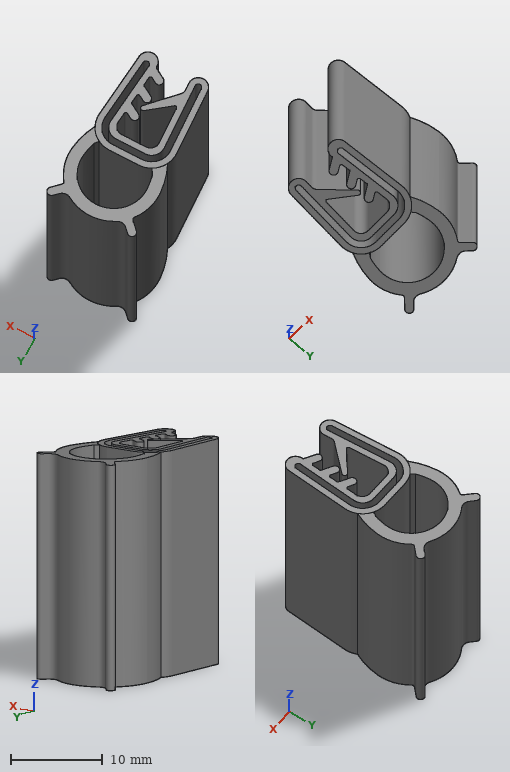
import cadquery as cq
import math

LENGTH = 25.0

CLIP_TOP = 12.25
WALL = 2.25
SLOT = 0.75
LEG_TAPER = math.radians(4.0)
LEG_TIP_X = 3.12
LEG_TIP_Y = WALL / 2
SLOT_END_RAISE = 0.38
CORNER_RADIUS = 1.88
INNER_CORNER_RADIUS = 1.05
MIDLINE_TOP = CLIP_TOP - WALL / 2

TOOTH_COUNT = 3
TOOTH_PITCH = 2.48
TOOTH_RADIUS = 0.5
TOOTH_SLOPE = math.radians(30.0)
LOWEST_TOOTH_X = 0.95
LOWEST_TOOTH_Y = 2.5
TOOTH_UPPER_FILLET = 0.2
TOOTH_LOWER_FILLET = 0.12

LIP_TIP_X = 0.92
LIP_TIP_Y = 6.15
LIP_TIP_RADIUS = 0.3
LIP_UPPER_SLOPE = math.radians(38.5)
LIP_LOWER_SLOPE = math.radians(47.5)
LIP_UPPER_FILLET = 0.2
LIP_LOWER_FILLET = 0.75

BULB_CENTRE_Y = 14.5
BULB_RADIUS = 5.5
BULB_WALL = 1.5
FLANK_RADIUS = 9.7
FLANK_JOIN_Y = 14.02
FLANK_JOIN_ANGLE = math.asin((FLANK_JOIN_Y - BULB_CENTRE_Y) / BULB_RADIUS)
FLANK_END_Y = 10.0
VOID_FLANK_END_Y = 12.35
VOID_FOOT_X = 3.02
VOID_FOOT_Y = 11.55

FIN_ANGLE = math.radians(45.0)
FIN_RADIUS = 0.5
FIN_TIP_X = BULB_RADIUS - FIN_RADIUS
FIN_REACH = FIN_TIP_X / math.cos(FIN_ANGLE)
FIN_UPPER_FILLET = 1.0
FIN_LOWER_FILLET = 0.3


def along(point, angle, distance):
    """Point reached by moving a distance in the direction of an angle."""
    return (point[0] + distance * math.cos(angle), point[1] + distance * math.sin(angle))


def mirrored(point):
    return (-point[0], point[1])


def prism(wire):
    return wire.close().extrude(LENGTH)


def round_corner(body, point, radius):
    """Fillet the lengthwise edge nearest to a point of the profile."""
    middle = (point[0], point[1], LENGTH / 2)
    return body.edges("|Z").edges(cq.NearestToPointSelector(middle)).fillet(radius)


def corner_arc(offset, radius):
    """Right corner arc from the bridge down to the leg, offset outwards from the middle line.

    Returns its start, middle and end points.
    """
    centre_y = MIDLINE_TOP + offset - radius
    middle_x = LEG_TIP_X + (centre_y - LEG_TIP_Y) * math.tan(LEG_TAPER)
    centre = (middle_x + (offset - radius) / math.cos(LEG_TAPER), centre_y)
    angles = (math.pi / 2, math.pi / 4 - LEG_TAPER / 2, -LEG_TAPER)
    return [along(centre, angle, radius) for angle in angles]


def leg_end(half_width, end_raise):
    """Outer, lowest and inner points of the right leg's rounded end."""
    centre = (LEG_TIP_X + end_raise * math.tan(LEG_TAPER), LEG_TIP_Y + end_raise)
    angles = (-LEG_TAPER, -LEG_TAPER - math.pi / 2, math.pi - LEG_TAPER)
    return [along(centre, angle, half_width) for angle in angles]


def u_band(width, inner_radius, right_end_raise=0.0):
    """U-shaped band of the given width that follows the middle line of the clip wall."""
    half = width / 2
    outer = corner_arc(half, CORNER_RADIUS + half)
    inner = corner_arc(-half, inner_radius)
    right_end = leg_end(half, right_end_raise)
    left_end = [mirrored(point) for point in leg_end(half, 0.0)]
    return prism(
        cq.Workplane("XY")
        .moveTo(*mirrored(outer[0]))
        .lineTo(*outer[0])
        .threePointArc(outer[1], outer[2])
        .lineTo(*right_end[0])
        .threePointArc(right_end[1], right_end[2])
        .lineTo(*inner[2])
        .threePointArc(inner[1], inner[0])
        .lineTo(*mirrored(inner[0]))
        .threePointArc(mirrored(inner[1]), mirrored(inner[2]))
        .lineTo(*left_end[2])
        .threePointArc(left_end[1], left_end[0])
        .lineTo(*mirrored(outer[2]))
        .threePointArc(mirrored(outer[1]), mirrored(outer[0]))
    )


def clip_envelope():
    """Clip outline with the inside of the U filled in."""
    outer = corner_arc(WALL / 2, CORNER_RADIUS + WALL / 2)
    tip = leg_end(WALL / 2, 0.0)[0]
    return prism(
        cq.Workplane("XY")
        .moveTo(*mirrored(outer[0]))
        .lineTo(*outer[0])
        .threePointArc(outer[1], outer[2])
        .lineTo(*tip)
        .lineTo(*mirrored(tip))
        .lineTo(*mirrored(outer[2]))
        .threePointArc(mirrored(outer[1]), mirrored(outer[0]))
    )


def leg_inner_face_x(y):
    """Distance of a leg's inner face from the symmetry plane at height y."""
    middle_x = LEG_TIP_X + (y - LEG_TIP_Y) * math.tan(LEG_TAPER)
    return middle_x - WALL / 2 / math.cos(LEG_TAPER)


def meet_leg(start, angle, side):
    """Point where a line meets the inner face of the right (1) or left (-1) leg."""
    gap = side * leg_inner_face_x(start[1]) - start[0]
    rate = math.cos(angle) - side * math.sin(angle) * math.tan(LEG_TAPER)
    return along(start, angle, gap / rate)


def add_projection(body, tip, radius, upper_angle, lower_angle, side, fillets):
    """Add a round-tipped projection whose two flanks run at the given angles into a leg."""
    quarter = side * math.pi / 2
    middle_angle = (upper_angle + lower_angle) / 2
    upper_start = along(tip, upper_angle + quarter, radius)
    lower_start = along(tip, lower_angle - quarter, radius)
    nose = along(tip, middle_angle + math.pi, radius)
    upper_root = meet_leg(upper_start, upper_angle, side)
    lower_root = meet_leg(lower_start, lower_angle, side)
    embed = side * SLOT / 2
    projection = prism(
        cq.Workplane("XY")
        .moveTo(*upper_root)
        .lineTo(*upper_start)
        .threePointArc(nose, lower_start)
        .lineTo(*lower_root)
        .lineTo(lower_root[0] + embed, lower_root[1])
        .lineTo(upper_root[0] + embed, upper_root[1])
    )
    body = body.union(projection)
    body = round_corner(body, upper_root, fillets[0])
    return round_corner(body, lower_root, fillets[1])


def make_clip():
    clip = u_band(WALL, INNER_CORNER_RADIUS)
    for index in range(TOOTH_COUNT):
        rise = index * TOOTH_PITCH
        tip = (LOWEST_TOOTH_X + rise * math.tan(LEG_TAPER), LOWEST_TOOTH_Y + rise)
        clip = add_projection(
            clip, tip, TOOTH_RADIUS, -TOOTH_SLOPE, -TOOTH_SLOPE, 1,
            (TOOTH_UPPER_FILLET, TOOTH_LOWER_FILLET),
        )
    clip = add_projection(
        clip, (LIP_TIP_X, LIP_TIP_Y), LIP_TIP_RADIUS,
        math.pi + LIP_UPPER_SLOPE, math.pi + LIP_LOWER_SLOPE, -1,
        (LIP_UPPER_FILLET, LIP_LOWER_FILLET),
    )
    return clip.cut(u_band(SLOT, CORNER_RADIUS - SLOT / 2, SLOT_END_RAISE))


def dome(inset, end_y):
    """Open bulb outline moved inwards by inset, from the left flank end to the right one."""
    bulb_centre = (0, BULB_CENTRE_Y)
    radius = BULB_RADIUS - inset
    flank_radius = FLANK_RADIUS - inset
    flank_centre = along(bulb_centre, FLANK_JOIN_ANGLE, BULB_RADIUS - FLANK_RADIUS)
    end_angle = math.asin((end_y - flank_centre[1]) / flank_radius)
    join = along(bulb_centre, FLANK_JOIN_ANGLE, radius)
    flank_middle = along(flank_centre, (FLANK_JOIN_ANGLE + end_angle) / 2, flank_radius)
    flank_end = along(flank_centre, end_angle, flank_radius)
    return (
        cq.Workplane("XY")
        .moveTo(*mirrored(flank_end))
        .threePointArc(mirrored(flank_middle), mirrored(join))
        .threePointArc((0, BULB_CENTRE_Y + radius), join)
        .threePointArc(flank_middle, flank_end)
    )


def add_fin(body, side):
    """Add a round-ended fin pointing away from the bulb centre, right (1) or left (-1)."""
    inner_reach = BULB_RADIUS - BULB_WALL / 2
    slot_length = FIN_REACH - inner_reach + 2 * FIN_RADIUS
    middle = along((0, BULB_CENTRE_Y), FIN_ANGLE, (FIN_REACH + inner_reach) / 2)
    fin = (
        cq.Workplane("XY")
        .center(side * middle[0], middle[1])
        .slot2D(slot_length, 2 * FIN_RADIUS, side * math.degrees(FIN_ANGLE))
        .extrude(LENGTH)
    )
    body = body.union(fin)
    root_angle = math.asin(FIN_RADIUS / BULB_RADIUS)
    for turn, radius in ((root_angle, FIN_UPPER_FILLET), (-root_angle, FIN_LOWER_FILLET)):
        root = along((0, BULB_CENTRE_Y), FIN_ANGLE + turn, BULB_RADIUS)
        body = round_corner(body, (side * root[0], root[1]), radius)
    return body


def make_bulb():
    bulb = prism(dome(0.0, FLANK_END_Y))
    for side in (-1, 1):
        bulb = add_fin(bulb, side)
    foot = (VOID_FOOT_X, VOID_FOOT_Y)
    void = prism(dome(BULB_WALL, VOID_FLANK_END_Y).lineTo(*foot).lineTo(*mirrored(foot)))
    return bulb.cut(void).cut(clip_envelope())


clip = make_clip()
bulb = make_bulb()
result = cq.Compound.makeCompound([clip.val(), bulb.val()])